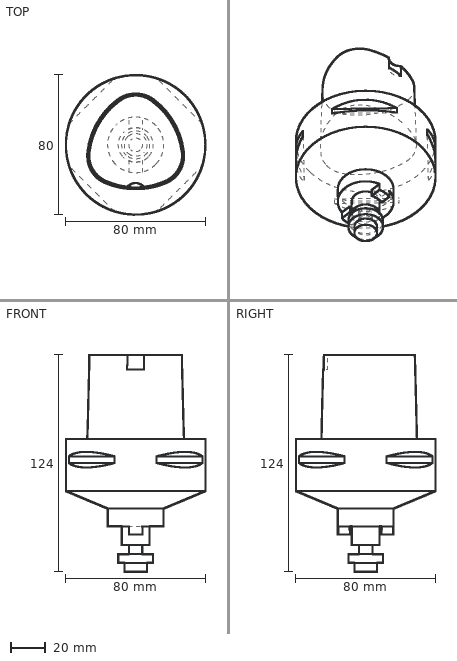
import cadquery as cq
import math

tip_top = 5.1
disc_top = 10.0
neck_top = 15.3
tab_bottom = 21.2
collar_bottom = 26.0
cone_bottom = 36.1
flange_bottom = 46.1
flange_top = 76.0
total_height = 124.0

tip_diameter = 13.0
disc_diameter = 20.0
neck_diameter = 7.8
stub_diameter = 16.0
collar_diameter = 32.0
flange_diameter = 80.0

tab_width = 7.8
tab_gap_diameter = 19.5

groove_floor_radius = 35.5
groove_floor_height = 3.7
groove_center_z = 64.1
groove_side_angle = 30.0
groove_count = 4
first_groove_angle = 45
cut_margin = 1.2

lobe_tip_radius = 29.4
side_middle_radius = 25.4
side_arc_radius = 44.0
shank_taper = math.degrees(math.atan(1 / 40))

notch_radius = 6.2
notch_inner_y = -21.8
notch_depth = 8.3


def polar(radius, degrees):
    angle = math.radians(degrees)
    return (radius * math.cos(angle), radius * math.sin(angle))


def turned_body():
    steps = [
        (tip_diameter, 0, tip_top),
        (disc_diameter, tip_top, disc_top),
        (neck_diameter, disc_top, neck_top),
        (stub_diameter, neck_top, collar_bottom),
        (collar_diameter, collar_bottom, cone_bottom),
        (flange_diameter, flange_bottom, flange_top),
    ]
    outline = [(0, 0)]
    for diameter, bottom, top in steps:
        outline += [(diameter / 2, bottom), (diameter / 2, top)]
    outline.append((0, flange_top))
    return cq.Workplane("XZ").polyline(outline).close().revolve(360, (0, 0), (0, 1))


def driving_tabs():
    height = collar_bottom - tab_bottom
    ring = (
        cq.Workplane("XY", origin=(0, 0, tab_bottom))
        .circle(collar_diameter / 2)
        .circle(tab_gap_diameter / 2)
        .extrude(height)
    )
    bar = (
        cq.Workplane("XY", origin=(0, 0, tab_bottom))
        .rect(tab_width, collar_diameter)
        .extrude(height)
    )
    return ring.intersect(bar)


def gripper_groove(direction):
    outer = flange_diameter / 2 + cut_margin
    half_floor = groove_floor_height / 2
    rise = (outer - groove_floor_radius) * math.tan(math.radians(groove_side_angle))
    return (
        cq.Workplane("XZ", origin=(0, 0, groove_center_z))
        .moveTo(groove_floor_radius, -half_floor)
        .lineTo(outer, -half_floor - rise)
        .lineTo(outer, half_floor + rise)
        .lineTo(groove_floor_radius, half_floor)
        .close()
        .extrude(flange_diameter / 2, both=True)
        .rotate((0, 0, 0), (0, 0, 1), direction)
    )


def lobed_shank():
    side_offset = side_arc_radius - side_middle_radius
    reach = side_arc_radius - lobe_tip_radius
    lobe_offset = (side_offset**2 - reach**2) / (2 * reach - side_offset)
    lobe_radius = lobe_tip_radius - lobe_offset

    side_center_x, side_center_y = polar(side_offset, -120)
    half_lobe = math.atan2(-side_center_y, lobe_offset - side_center_x)
    joint_x = lobe_offset + lobe_radius * math.cos(half_lobe)
    joint_y = lobe_radius * math.sin(half_lobe)
    joint_radius = math.hypot(joint_x, joint_y)
    joint_angle = math.degrees(math.atan2(joint_y, joint_x))

    outline = cq.Workplane("XY", origin=(0, 0, flange_top))
    outline = outline.moveTo(*polar(joint_radius, 90 - joint_angle))
    for lobe_angle in (90, 210, 330):
        outline = outline.threePointArc(
            polar(lobe_tip_radius, lobe_angle),
            polar(joint_radius, lobe_angle + joint_angle),
        ).threePointArc(
            polar(side_middle_radius, lobe_angle + 60),
            polar(joint_radius, lobe_angle + 120 - joint_angle),
        )
    return outline.close().extrude(total_height - flange_top, taper=shank_taper)


def shank_notch():
    return (
        cq.Workplane("XY", origin=(0, notch_inner_y - notch_radius, total_height - notch_depth))
        .circle(notch_radius)
        .extrude(notch_depth)
    )


result = turned_body().union(driving_tabs()).union(lobed_shank()).cut(shank_notch())
for index in range(groove_count):
    result = result.cut(gripper_groove(first_groove_angle + index * 360 / groove_count))